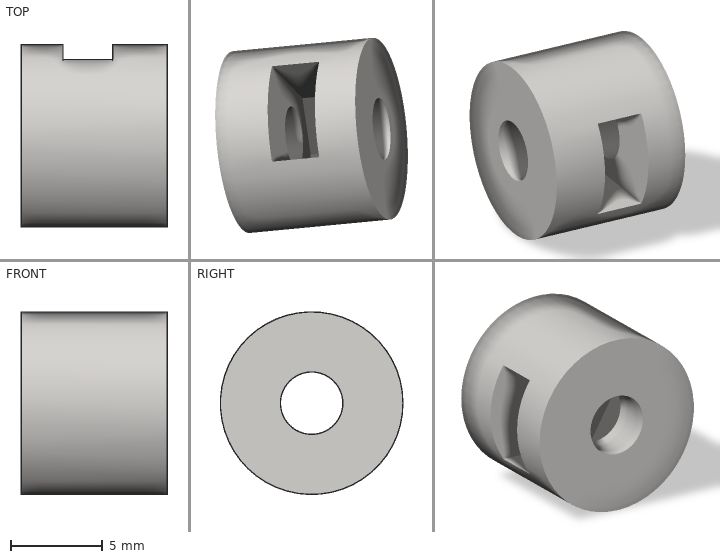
import cadquery as cq
import math

length = 8.0
outer_diameter = 10.0
bore_diameter = 3.4

slot_start = 2.3
slot_thickness = 2.7
slot_width = 5.5

outer_radius = outer_diameter / 2
half_width = slot_width / 2
hexagon_radius = slot_width / math.sqrt(3)


def make_sleeve():
    return (
        cq.Workplane("YZ")
        .circle(outer_radius)
        .circle(bore_diameter / 2)
        .extrude(length)
    )


def make_nut_slot():
    flat_end = -hexagon_radius / 2
    return (
        cq.Workplane("YZ", origin=(slot_start, 0, 0))
        .moveTo(outer_radius, half_width)
        .lineTo(flat_end, half_width)
        .lineTo(-hexagon_radius, 0)
        .lineTo(flat_end, -half_width)
        .lineTo(outer_radius, -half_width)
        .close()
        .extrude(slot_thickness)
    )


result = make_sleeve().cut(make_nut_slot())